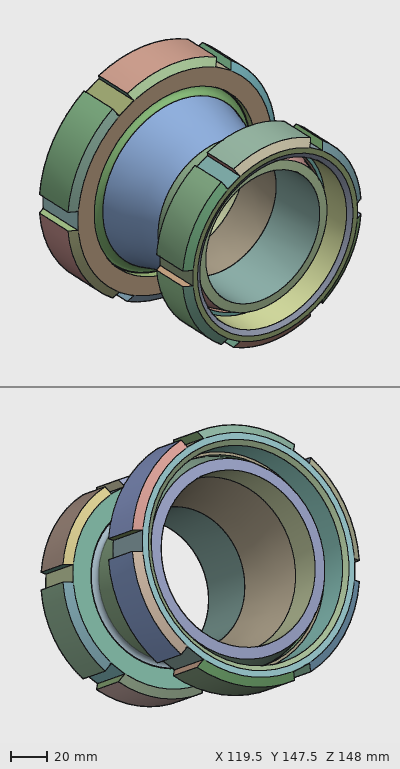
import cadquery as cq
import math


TOTAL_LENGTH = 119.5
WALL = 2.0

SLOT_COUNT = 6
SLOT_DEPTH = 5.0
RIM_CHAMFER_WIDTH = SLOT_DEPTH * math.tan(math.radians(30))
THREAD_DEPTH = 21.0
THREAD_CHAMFER_ANGLE = math.radians(30)

LARGE_NUT_DIAMETER = 148.0
LARGE_NUT_WIDTH = 31.0
LARGE_SLOT_WIDTH = 12.0
LARGE_THREAD_MAJOR = 130.4
LARGE_THREAD_MINOR = 124.29
LARGE_NUT_HOLE = 115.0

SMALL_NUT_DIAMETER = 127.0
SMALL_NUT_WIDTH = 29.0
SMALL_SLOT_WIDTH = 10.0
SMALL_THREAD_MAJOR = 110.4
SMALL_THREAD_MINOR = 104.29
SMALL_NUT_HOLE = 94.0

FACE_SETBACK = 11.0
FACE_SLOPE = 0.55
CONE_ANGLE = math.radians(15)
CONE_RISE = 3.9
CONE_LENGTH = CONE_RISE / math.tan(CONE_ANGLE)
SEAT_DEPTH = FACE_SETBACK + FACE_SLOPE + CONE_LENGTH
NECK_CLEARANCE = 0.5
PIPE_START = 31.6

LARGE_BORE = 100.0
LARGE_FLANGE = 121.0
LARGE_PIPE = LARGE_BORE + 2 * WALL
LARGE_JOINT = 31.8

SMALL_BORE = 81.0
SMALL_FLANGE = 100.0
SMALL_PIPE = 87.0
SMALL_JOINT = 49.5

REDUCER_LARGE_RADIUS = LARGE_PIPE / 2
REDUCER_SMALL_RADIUS = SMALL_BORE / 2 + WALL
REDUCER_SAG = 0.9


def revolve(profile):
    """Turn a profile drawn as (position along X, radius) around the X axis."""
    return profile.close().revolve(360, (0, 0, 0), (1, 0, 0))


def face_small_end(body):
    """Turn a body built from X = 0 around so that its open face is at the far end."""
    return body.rotate((0, 0, 0), (0, 0, 1), 180).translate((TOTAL_LENGTH, 0, 0))


def make_nut(diameter, width, slot_width, thread_major, thread_minor, flange, hole):
    """Grooved nut with its open face at X = 0 and its web at the back."""
    rim = diameter / 2
    face = rim - SLOT_DEPTH
    mouth = thread_major / 2
    bore = thread_minor / 2
    nut = revolve(
        cq.Workplane("XY")
        .moveTo(0, mouth)
        .lineTo(0, face)
        .lineTo(RIM_CHAMFER_WIDTH, rim)
        .lineTo(width - RIM_CHAMFER_WIDTH, rim)
        .lineTo(width, face)
        .lineTo(width, hole / 2)
        .lineTo(SEAT_DEPTH, hole / 2)
        .lineTo(SEAT_DEPTH, flange / 2)
        .lineTo(THREAD_DEPTH, flange / 2)
        .lineTo(THREAD_DEPTH, bore)
        .lineTo((mouth - bore) * math.tan(THREAD_CHAMFER_ANGLE), bore)
    )
    slot = cq.Workplane("XY").box(width, 2 * SLOT_DEPTH, slot_width).translate(
        (width / 2, face + SLOT_DEPTH, 0)
    )
    for index in range(SLOT_COUNT):
        nut = nut.cut(slot.rotate((0, 0, 0), (1, 0, 0), index * 360 / SLOT_COUNT))
    return nut


def make_liner(bore, flange, nut_hole, pipe, joint):
    """Liner with a conical end inside the nut and a plain pipe end at the weld joint."""
    bore_radius = bore / 2
    flange_radius = flange / 2
    neck_radius = nut_hole / 2 - NECK_CLEARANCE
    pipe_radius = pipe / 2
    fillet = neck_radius - pipe_radius
    fillet_start = PIPE_START - fillet
    fillet_offset = fillet * math.sqrt(0.5)
    return revolve(
        cq.Workplane("XY")
        .moveTo(FACE_SETBACK, bore_radius)
        .lineTo(FACE_SETBACK + FACE_SLOPE, flange_radius - CONE_RISE)
        .lineTo(SEAT_DEPTH, flange_radius)
        .lineTo(SEAT_DEPTH, neck_radius)
        .lineTo(fillet_start, neck_radius)
        .threePointArc(
            (PIPE_START - fillet_offset, neck_radius - fillet_offset),
            (PIPE_START, pipe_radius),
        )
        .lineTo(joint, pipe_radius)
        .lineTo(joint, bore_radius)
    )


def make_reducer(start, end):
    """Waisted tube of even wall between the two weld joints."""
    middle = (start + end) / 2
    middle_radius = (REDUCER_LARGE_RADIUS + REDUCER_SMALL_RADIUS) / 2 - REDUCER_SAG
    return revolve(
        cq.Workplane("XY")
        .moveTo(start, REDUCER_LARGE_RADIUS)
        .threePointArc((middle, middle_radius), (end, REDUCER_SMALL_RADIUS))
        .lineTo(end, REDUCER_SMALL_RADIUS - WALL)
        .threePointArc((middle, middle_radius - WALL), (start, REDUCER_LARGE_RADIUS - WALL))
    )


large_nut = make_nut(
    LARGE_NUT_DIAMETER, LARGE_NUT_WIDTH, LARGE_SLOT_WIDTH,
    LARGE_THREAD_MAJOR, LARGE_THREAD_MINOR, LARGE_FLANGE, LARGE_NUT_HOLE,
)
small_nut = face_small_end(make_nut(
    SMALL_NUT_DIAMETER, SMALL_NUT_WIDTH, SMALL_SLOT_WIDTH,
    SMALL_THREAD_MAJOR, SMALL_THREAD_MINOR, SMALL_FLANGE, SMALL_NUT_HOLE,
))
large_liner = make_liner(LARGE_BORE, LARGE_FLANGE, LARGE_NUT_HOLE, LARGE_PIPE, LARGE_JOINT)
small_liner = face_small_end(
    make_liner(SMALL_BORE, SMALL_FLANGE, SMALL_NUT_HOLE, SMALL_PIPE, SMALL_JOINT)
)
reducer = make_reducer(LARGE_JOINT, TOTAL_LENGTH - SMALL_JOINT)

result = cq.Compound.makeCompound([
    large_nut.val(),
    large_liner.val(),
    reducer.val(),
    small_liner.val(),
    small_nut.val(),
])